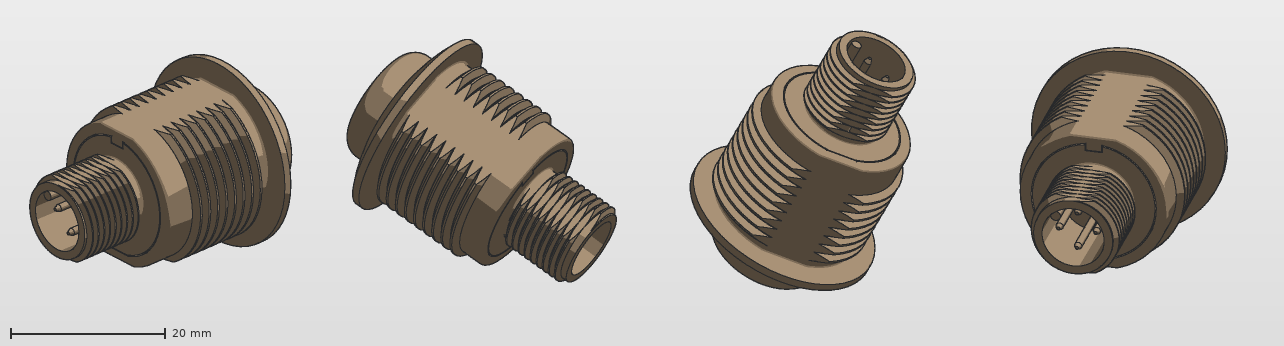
import cadquery as cq
import math


TOTAL_LENGTH = 35.3

BUTTON_RADIUS = 8.0
BUTTON_HEIGHT = 4.2
BUTTON_ROUND = 2.5

FLANGE_RADIUS = 26.0 / 2
FLANGE_RIM = 1.05
FLANGE_HEIGHT = 2.95
FLANGE_TOP_RADIUS = 8.55
FLANGE_BULGE = 0.15
BODY_RADIUS = 10.0
BODY_FLAT = 9.5
BODY_ROUND = 0.5
FLAT_EDGE_ROUND = 0.7
PLUG_LENGTH = 10.5
BODY_LENGTH = TOTAL_LENGTH - BUTTON_HEIGHT - FLANGE_HEIGHT - PLUG_LENGTH

BODY_THREAD_RADIUS = 10.95
BODY_THREAD_RISE = 12.75
BODY_THREAD_HALF_TURNS = 17
BODY_THREAD_PITCH = 2 * BODY_THREAD_RISE / BODY_THREAD_HALF_TURNS
BODY_THREAD_START = -13.9

RECESS_RADIUS = 8.4
RECESS_FLAT = 8.12
RECESS_DEPTH = 4.95
TAB_WIDTH = 2.12
TAB_BOTTOM = 7.38
ROUND_GAP = 0.18
FLAT_GAP = 0.1

PLUG_RADIUS = 5.3
PLUG_THREAD_SINK = 0.0007
PLUG_FILLET = 0.42
PLUG_THREAD_RADIUS = 5.95
PLUG_THREAD_RISE = 9.0
PLUG_THREAD_HALF_TURNS = 18
PLUG_THREAD_PITCH = 2 * PLUG_THREAD_RISE / PLUG_THREAD_HALF_TURNS
PLUG_THREAD_START = -27.55
BORE_RADIUS = 4.15
BORE_DEPTH = PLUG_LENGTH
BORE_KEY_RADIUS = 0.67
BORE_KEY_CENTRE = 3.55
BORE_KEY_ANGLE = 135
BORE_KEY_SETBACK = 0.6

PIN_COUNT = 4
PIN_RADIUS = 0.5
PIN_CIRCLE_RADIUS = 2.5
PIN_TIP_LENGTH = 0.65
PIN_TIP_RADIUS = 0.2
PIN_SETBACK = 1.95

THREAD_BASE = 0.96
THREAD_CREST = 0.2
THREAD_END_ANGLE = 0.5
THREAD_OVERLAP = 0.07

BODY_END = -BODY_LENGTH
PLUG_END = BODY_END - PLUG_LENGTH
SLAB = 2 * TOTAL_LENGTH
SELECT_MARGIN = 0.05


def plane_at(y):
    """Plane across the axis: local x is X, local y is Z, and extrusion goes to -Y."""
    return cq.Workplane("XZ", origin=(0, y, 0))


def between_flats(flat):
    """Slab that keeps what lies between two flats at +Z and -Z."""
    return cq.Workplane("XY").box(SLAB, SLAB, 2 * flat)


def outline_at(y, radius):
    """Selector for the edges that lie across the axis at y, no further out than the radius."""
    reach = radius + SELECT_MARGIN
    return cq.selectors.BoxSelector(
        (-reach, y - SELECT_MARGIN, -reach), (reach, y + SELECT_MARGIN, reach), boundingbox=True
    )


def half_turn(root, crest, pitch, start_up, flat):
    """Half a turn of thread from one flat to the opposite one, trimmed at both flats."""
    crest_half = THREAD_CREST * pitch / 2
    base_half = THREAD_BASE * pitch / 2
    buried_half = base_half + THREAD_OVERLAP * (base_half - crest_half) / (crest - root)
    buried = root - THREAD_OVERLAP
    sweep_share = (180 - 2 * THREAD_END_ANGLE) / 360
    helix = cq.Wire.makeHelix(pitch, pitch * sweep_share, root)
    profile = cq.Workplane("XZ").polyline([
        (buried, -buried_half),
        (crest, -crest_half),
        (crest, crest_half),
        (buried, buried_half),
    ]).close()
    ridge = profile.sweep(cq.Workplane(helix), isFrenet=True)
    ridge = ridge.rotate((0, 0, 0), (0, 0, 1), THREAD_END_ANGLE)
    ridge = ridge.translate((0, 0, pitch * THREAD_END_ANGLE / 360))
    seat = cq.Plane(origin=(0, 0, 0), xDir=(0, 0, start_up), normal=(0, 1, 0))
    return cq.Workplane(ridge.val().moved(cq.Location(seat))).intersect(between_flats(flat))


def add_thread(core, root, crest, pitch, half_turns, start_y, start_up, flat):
    """Add a right-handed thread that winds towards +Y, starting above or below the axis."""
    ridge = half_turn(root, crest, pitch, start_up, flat)
    for index in range(half_turns):
        turned = ridge.rotate((0, 0, 0), (0, 1, 0), 180 * index)
        core = core.union(turned.translate((0, start_y + index * pitch / 2, 0)), clean=False)
    return core


def keyed_disc(y, depth, radius, flat, tab_width, tab_bottom):
    """Disc from y to -Y with a flat at the bottom and a notch for the key tab at the top."""
    disc = plane_at(y).circle(radius).extrude(depth)
    below_flat = plane_at(y).rect(SLAB, SLAB).extrude(depth).translate((0, 0, -SLAB / 2 - flat))
    tab = plane_at(y).rect(tab_width, SLAB).extrude(depth).translate((0, 0, SLAB / 2 + tab_bottom))
    return disc.cut(below_flat).cut(tab)


def make_button():
    top = FLANGE_HEIGHT + BUTTON_HEIGHT
    button = plane_at(top).circle(BUTTON_RADIUS).extrude(BUTTON_HEIGHT)
    return button.faces(">Y").edges().fillet(BUTTON_ROUND)


def make_flange():
    run = FLANGE_RADIUS - FLANGE_TOP_RADIUS
    rise = FLANGE_HEIGHT - FLANGE_RIM
    slope = math.hypot(run, rise)
    bow_point = (
        FLANGE_RADIUS - run / 2 + FLANGE_BULGE * rise / slope,
        FLANGE_RIM + rise / 2 + FLANGE_BULGE * run / slope,
    )
    profile = (
        cq.Workplane("XY")
        .lineTo(FLANGE_RADIUS, 0)
        .lineTo(FLANGE_RADIUS, FLANGE_RIM)
        .threePointArc(bow_point, (FLANGE_TOP_RADIUS, FLANGE_HEIGHT))
        .lineTo(0, FLANGE_HEIGHT)
        .close()
    )
    return profile.revolve(360, (0, 0, 0), (0, 1, 0))


def make_housing():
    body = plane_at(0).circle(BODY_RADIUS).extrude(BODY_LENGTH)
    body = body.intersect(between_flats(BODY_FLAT))
    body = body.edges("|Y and (>Z or <Z)").fillet(FLAT_EDGE_ROUND)
    body = body.faces("<Y").edges().fillet(BODY_ROUND)
    housing = make_flange().union(body)
    housing = housing.edges(outline_at(0, BODY_RADIUS)).fillet(BODY_ROUND)
    housing = add_thread(
        housing,
        root=BODY_RADIUS,
        crest=BODY_THREAD_RADIUS,
        pitch=BODY_THREAD_PITCH,
        half_turns=BODY_THREAD_HALF_TURNS,
        start_y=BODY_THREAD_START,
        start_up=-1,
        flat=BODY_FLAT,
    )
    recess = keyed_disc(
        BODY_END + RECESS_DEPTH, RECESS_DEPTH, RECESS_RADIUS, RECESS_FLAT, TAB_WIDTH, TAB_BOTTOM
    )
    return housing.cut(recess)


def make_insert():
    disc = keyed_disc(
        BODY_END + RECESS_DEPTH,
        RECESS_DEPTH,
        RECESS_RADIUS - ROUND_GAP,
        RECESS_FLAT - FLAT_GAP,
        TAB_WIDTH + 2 * FLAT_GAP,
        TAB_BOTTOM - FLAT_GAP,
    )
    insert = disc.union(plane_at(BODY_END).circle(PLUG_RADIUS).extrude(PLUG_LENGTH))
    insert = insert.edges(outline_at(BODY_END, PLUG_RADIUS)).fillet(PLUG_FILLET)
    insert = add_thread(
        insert,
        root=PLUG_RADIUS,
        crest=PLUG_THREAD_RADIUS,
        pitch=PLUG_THREAD_PITCH,
        half_turns=PLUG_THREAD_HALF_TURNS,
        start_y=PLUG_THREAD_START,
        start_up=1,
        flat=PLUG_RADIUS - PLUG_THREAD_SINK,
    )
    bore = plane_at(PLUG_END + BORE_DEPTH).circle(BORE_RADIUS).extrude(BORE_DEPTH)
    key = (
        plane_at(PLUG_END + BORE_DEPTH)
        .polarArray(BORE_KEY_CENTRE, BORE_KEY_ANGLE, 360, 1)
        .circle(BORE_KEY_RADIUS)
        .extrude(BORE_DEPTH - BORE_KEY_SETBACK)
    )
    return insert.cut(bore.cut(key))


def make_pins():
    """Pins standing on the floor of the bore."""
    length = BORE_DEPTH - PIN_SETBACK
    pins = []
    for index in range(PIN_COUNT):
        angle = 2 * math.pi * index / PIN_COUNT
        x = PIN_CIRCLE_RADIUS * math.cos(angle)
        z = PIN_CIRCLE_RADIUS * math.sin(angle)
        pin = plane_at(PLUG_END + BORE_DEPTH).center(x, z).circle(PIN_RADIUS).extrude(length)
        pins.append(pin.faces("<Y").chamfer(PIN_TIP_LENGTH, PIN_RADIUS - PIN_TIP_RADIUS).val())
    return pins


button = make_button()
housing = make_housing()
insert = make_insert()
pins = make_pins()

result = cq.Compound.makeCompound([button.val(), housing.val(), insert.val(), *pins])